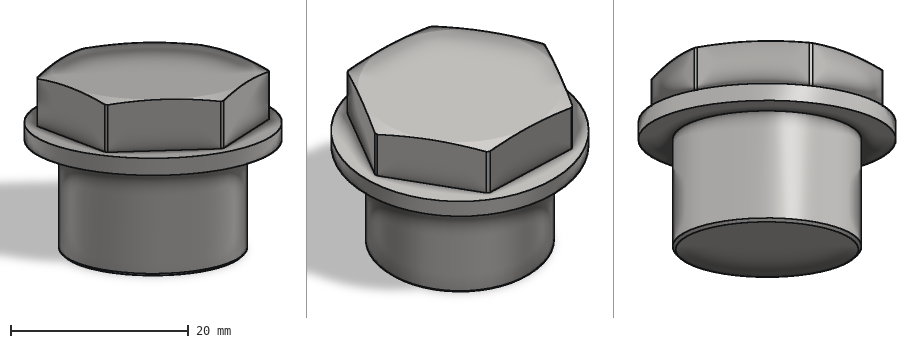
import cadquery as cq
import math

flange_diameter = 29.0
flange_height = 2.0
shank_diameter = 21.25
shank_height = 13.0
shank_chamfer = 0.35
head_height = 6.0
head_across_flats = 22.9
head_corner_diameter = 26.22
head_bevel_angle = 15.0

HEX_SIDES = 6
flange_top = shank_height + flange_height
head_top = flange_top + head_height


def make_shank():
    """Plain cylinder with a chamfered lower end."""
    shank = cq.Workplane("XY").circle(shank_diameter / 2).extrude(shank_height)
    return shank.faces("<Z").chamfer(shank_chamfer)


def make_flange():
    """Round collar between shank and head."""
    return (
        cq.Workplane("XY", origin=(0, 0, shank_height))
        .circle(flange_diameter / 2)
        .extrude(flange_height)
    )


def make_head():
    """Hexagon with two flats facing X, trimmed by a bevelled round envelope."""
    hexagon_diameter = head_across_flats / math.cos(math.pi / HEX_SIDES)
    hexagon = (
        cq.Workplane("XY", origin=(0, 0, flange_top))
        .transformed(rotate=(0, 0, 180 / HEX_SIDES))
        .polygon(HEX_SIDES, hexagon_diameter)
        .extrude(head_height)
    )
    top_radius = head_across_flats / 2
    corner_radius = head_corner_diameter / 2
    bevel_drop = (corner_radius - top_radius) * math.tan(math.radians(head_bevel_angle))
    envelope = (
        cq.Workplane("XZ")
        .moveTo(0, flange_top)
        .lineTo(corner_radius, flange_top)
        .lineTo(corner_radius, head_top - bevel_drop)
        .lineTo(top_radius, head_top)
        .lineTo(0, head_top)
        .close()
        .revolve(360, (0, 0, 0), (0, 1, 0))
    )
    return hexagon.intersect(envelope)


result = make_shank().union(make_flange()).union(make_head())